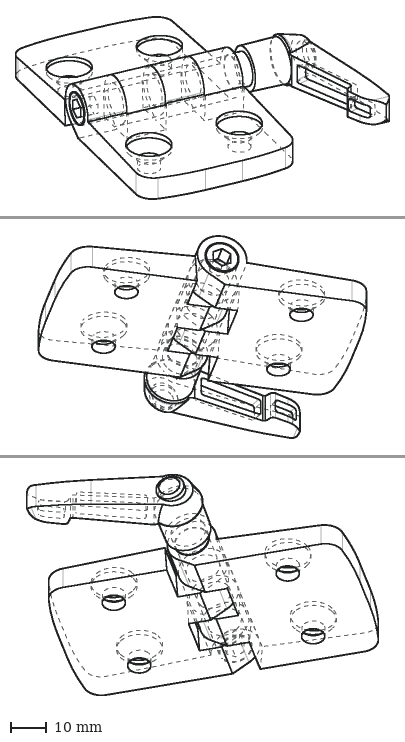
import cadquery as cq
import math


hinge_width = 87.0
leaf_length = 48.0
axis_height = 9.0
edge_thickness = 6.6
root_thickness = 8.2
corner_radius = 5.2
side_flat_length = 11.5
side_bow_radius = 74.8
notch_top_x = 7.65
notch_bottom_x = 7.1

knuckle_count = 4
knuckle_radius = 7.05
knuckle_length = leaf_length / knuckle_count
knuckle_foot_x = 0.8

hole_x = 25.0
hole_pitch_y = 28.0
hole_diameter = 6.4
countersink_diameter = 12.8
countersink_depth = 3.05
recess_floor = 6.0

pin_diameter = 9.6
pin_chamfer = 0.3
neck_diameter = 10.0
hex_flats = 5.0
hex_depth = 5.2
sleeve_start_y = 28.1
sleeve_start_diameter = 13.2
sleeve_end_diameter = 13.6
flange_start_y = 39.15
flange_rim_y = 39.7
flange_end_y = 40.2
flange_diameter = 14.6
head_top_diameter = 10.7
head_top_y = 47.85
button_diameter = 8.0
button_top_diameter = 6.0
button_chamfer_height = 0.8
button_top_y = 48.6

arm_top_root = (-6.1, 45.4)
arm_top_bend = (21.75, 51.6)
arm_top_middle = (30.3, 53.2)
arm_top_end = (37.0, 53.9)
tip_corner_middle = (39.3, 53.3)
tip_start = (40.0, 52.2)
tip_middle = (38.7, 49.1)
tip_end = (35.15, 46.3)
hook_heel = (31.15, 44.7)
hook_toe_middle = (30.45, 44.8)
hook_toe = (29.9, 45.15)
hook_root = (28.9, 46.8)
grip_end = (28.2, 46.9)
grip_start = (7.0, flange_start_y)
arm_root_half_thickness = 5.1
arm_tip_half_thickness = 3.8
tip_edge_radius = 1.7

pocket_corner_radius = 0.9
grip_pocket_x = (9.0, 27.6)
grip_pocket_half_widths = (2.9, 2.4)
grip_pocket_depth = 3.5
hook_pocket_x = (31.2, 38.3)
hook_pocket_half_widths = (2.0, 1.9)
hook_pocket_depth = 2.6


def leaf_outline():
    """Plan of one leaf on the -X side, with a bowed outer side and rounded corners."""
    half_length = leaf_length / 2
    outer_x = -hinge_width / 2
    flat_y = side_flat_length / 2

    def bow_x(y):
        return outer_x + side_bow_radius - math.sqrt(side_bow_radius**2 - (y - flat_y) ** 2)

    middle_y = (flat_y + half_length) / 2
    plan = (
        cq.Workplane("XY")
        .moveTo(0, half_length)
        .lineTo(bow_x(half_length), half_length)
        .threePointArc((bow_x(middle_y), middle_y), (outer_x, flat_y))
        .lineTo(outer_x, -flat_y)
        .threePointArc((bow_x(middle_y), -middle_y), (bow_x(half_length), -half_length))
        .lineTo(0, -half_length)
        .close()
        .extrude(2 * root_thickness)
    )
    return plan.edges("|Z").edges("<Y or >Y").edges("<X").fillet(corner_radius)


def plate(inner_top_x, inner_bottom_x, end_y, length):
    """Sloped plate reaching in to the given distances from the axis, running in -Y from end_y."""
    slope = (root_thickness - edge_thickness) / (hinge_width / 2 - notch_top_x)
    section = (
        cq.Workplane("XZ", origin=(0, end_y, 0))
        .polyline([
            (-hinge_width / 2, 0),
            (-inner_bottom_x, 0),
            (-inner_top_x, root_thickness + slope * (notch_top_x - inner_top_x)),
            (-hinge_width / 2, edge_thickness),
        ])
        .close()
        .extrude(length)
    )
    return section.intersect(leaf_outline())


def knuckle(end_y):
    """One knuckle ending at end_y, with a foot tangent to its barrel that joins the plate."""
    foot_distance = math.hypot(knuckle_foot_x, axis_height)
    foot_direction = math.atan2(-axis_height, -knuckle_foot_x)
    tangent_angle = foot_direction + math.acos(knuckle_radius / foot_distance)
    tangent_point = (
        knuckle_radius * math.cos(tangent_angle),
        axis_height + knuckle_radius * math.sin(tangent_angle),
    )
    return (
        cq.Workplane("XZ", origin=(0, end_y, 0))
        .moveTo(-knuckle_foot_x, 0)
        .lineTo(*tangent_point)
        .threePointArc((0, axis_height + knuckle_radius), (-knuckle_radius, axis_height))
        .lineTo(-knuckle_radius, 0)
        .close()
        .extrude(knuckle_length)
    )


def screw_holes():
    """Two through holes with a cone and a short cylindrical recess above it."""
    radius = hole_diameter / 2
    rim_radius = countersink_diameter / 2
    cutter = (
        cq.Workplane("XZ")
        .polyline([
            (0, 0),
            (radius, 0),
            (radius, recess_floor - countersink_depth),
            (rim_radius, recess_floor),
            (rim_radius, root_thickness),
            (0, root_thickness),
        ])
        .close()
        .revolve(360, (0, 0, 0), (0, 1, 0))
    )
    front = cutter.translate((-hole_x, -hole_pitch_y / 2, 0))
    return front.union(cutter.translate((-hole_x, hole_pitch_y / 2, 0)))


def pin_bore():
    return (
        cq.Workplane("XZ", origin=(0, leaf_length / 2, axis_height))
        .circle(pin_diameter / 2)
        .extrude(leaf_length)
    )


def make_leaf():
    """Leaf on the -X side, carrying every second knuckle."""
    leaf = plate(notch_top_x, notch_bottom_x, leaf_length / 2, leaf_length)
    for index in range(0, knuckle_count, 2):
        end_y = leaf_length / 2 - index * knuckle_length
        web = plate(knuckle_radius, knuckle_radius, end_y, knuckle_length)
        leaf = leaf.union(web).union(knuckle(end_y))
    return leaf.cut(screw_holes()).cut(pin_bore())


def pin_and_hub():
    """Turned pin, sleeve, flange and conical head of the lever."""
    pin_radius = pin_diameter / 2
    front_y = -leaf_length / 2
    return (
        cq.Workplane("XY", origin=(0, 0, axis_height))
        .moveTo(0, front_y)
        .lineTo(pin_radius - pin_chamfer, front_y)
        .lineTo(pin_radius, front_y + pin_chamfer)
        .lineTo(pin_radius, -front_y)
        .lineTo(neck_diameter / 2, -front_y)
        .lineTo(neck_diameter / 2, sleeve_start_y)
        .lineTo(sleeve_start_diameter / 2, sleeve_start_y)
        .lineTo(sleeve_end_diameter / 2, flange_start_y)
        .lineTo(flange_diameter / 2, flange_rim_y)
        .lineTo(flange_diameter / 2, flange_end_y)
        .lineTo(head_top_diameter / 2, head_top_y)
        .lineTo(0, head_top_y)
        .close()
        .revolve(360, (0, 0, 0), (0, 1, 0))
    )


def arm_top_y(x):
    """Height along Y of the straight slanted top shared by the head and the arm."""
    slope = (arm_top_bend[1] - arm_top_root[1]) / (arm_top_bend[0] - arm_top_root[0])
    return arm_top_root[1] + slope * (x - arm_top_root[0])


def above_slanted_top():
    """Space above the slanted top of the head."""
    half_width = flange_diameter / 2
    return (
        cq.Workplane("XY")
        .polyline([
            (-half_width, arm_top_y(-half_width)),
            (half_width, arm_top_y(half_width)),
            (half_width, 2 * head_top_y),
            (-half_width, 2 * head_top_y),
        ])
        .close()
        .extrude(2 * axis_height)
    )


def button():
    """Chamfered button that rises through the slanted top of the head."""
    radius = button_diameter / 2
    return (
        cq.Workplane("XY", origin=(0, 0, axis_height))
        .polyline([
            (0, flange_end_y),
            (radius, flange_end_y),
            (radius, button_top_y - button_chamfer_height),
            (button_top_diameter / 2, button_top_y),
            (0, button_top_y),
        ])
        .close()
        .revolve(360, (0, 0, 0), (0, 1, 0))
    )


def arm():
    """Curved arm with a hooked tip that thins toward its end."""
    blank = (
        cq.Workplane("XY")
        .moveTo(0, flange_start_y)
        .lineTo(*grip_start)
        .lineTo(*grip_end)
        .lineTo(*hook_root)
        .lineTo(*hook_toe)
        .threePointArc(hook_toe_middle, hook_heel)
        .lineTo(*tip_end)
        .threePointArc(tip_middle, tip_start)
        .threePointArc(tip_corner_middle, arm_top_end)
        .threePointArc(arm_top_middle, arm_top_bend)
        .lineTo(0, arm_top_y(0))
        .close()
        .extrude(2 * axis_height)
    )
    tip_x = tip_start[0]
    thickness = (
        cq.Workplane("XZ", origin=(0, 2 * button_top_y, axis_height))
        .polyline([
            (0, -arm_root_half_thickness),
            (tip_x, -arm_tip_half_thickness),
            (tip_x, arm_tip_half_thickness),
            (0, arm_root_half_thickness),
        ])
        .close()
        .extrude(2 * button_top_y)
        .edges("|Y and >X")
        .fillet(tip_edge_radius)
    )
    return blank.intersect(thickness)


def underside_pocket(face_start, face_end, x_range, half_widths, depth):
    """Tapered recess cut square to the underside line through two points."""
    run = face_end[0] - face_start[0]
    rise = face_end[1] - face_start[1]
    length = math.hypot(run, rise)
    face = cq.Plane(
        origin=(face_start[0], face_start[1], axis_height),
        xDir=(run, rise, 0),
        normal=(-rise, run, 0),
    )
    near = (x_range[0] - face_start[0]) * length / run
    far = (x_range[1] - face_start[0]) * length / run
    mouth_clearance = depth
    return (
        cq.Workplane(face)
        .workplane(offset=-mouth_clearance)
        .polyline([
            (near, -half_widths[0]),
            (far, -half_widths[1]),
            (far, half_widths[1]),
            (near, half_widths[0]),
        ])
        .close()
        .extrude(mouth_clearance + depth)
        .edges(cq.selectors.ParallelDirSelector(face.zDir))
        .fillet(pocket_corner_radius)
    )


def hex_socket():
    """Hexagonal socket in the front end of the pin, with two corners on the vertical."""
    across_corners = hex_flats / math.cos(math.radians(30))
    return (
        cq.Workplane("XZ", origin=(0, -leaf_length / 2, axis_height))
        .transformed(rotate=(0, 0, 90))
        .polygon(6, across_corners)
        .extrude(-hex_depth)
    )


def make_lever():
    """Clamping lever in one piece with the hinge pin."""
    head = pin_and_hub().cut(above_slanted_top())
    grip_pocket = underside_pocket(
        grip_start, grip_end, grip_pocket_x, grip_pocket_half_widths, grip_pocket_depth
    )
    hook_pocket = underside_pocket(
        hook_heel, tip_end, hook_pocket_x, hook_pocket_half_widths, hook_pocket_depth
    )
    hollow_arm = arm().cut(grip_pocket).cut(hook_pocket)
    return head.union(button()).union(hollow_arm).cut(hex_socket())


left_leaf = make_leaf()
right_leaf = left_leaf.rotate((0, 0, 0), (0, 0, 1), 180)
lever = make_lever()

result = cq.Compound.makeCompound([left_leaf.val(), right_leaf.val(), lever.val()])